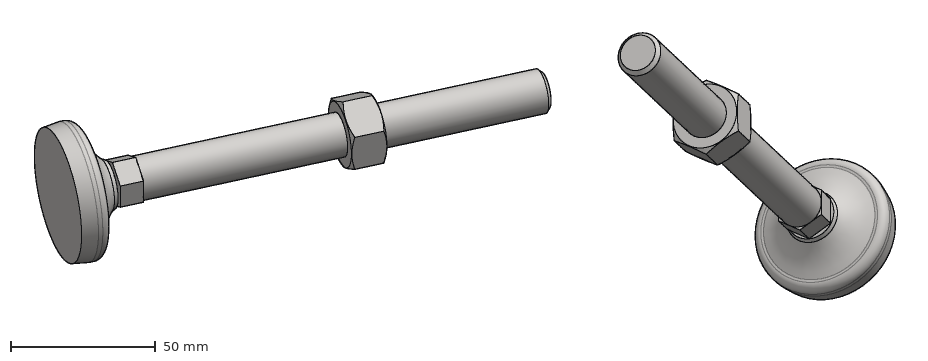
import cadquery as cq
import math

HEX_FLATS_TO_CORNERS = 1 / math.cos(math.pi / 6)

length = 179.0

pad_diameter = 50.0
pad_face_diameter = 48.3
rim_band_start = 5.9
rim_band_end = 7.5
rim_round = 3.2
hub_foot_radius = 20.8
hub_shoulder_radius = 9.5
hub_shoulder_height = 17.4
hub_top_radius = 8.8
hub_top = 19.0
flank_sag = 0.9

neck_diameter = 10.0
rod_diameter = 16.0
rod_tip_chamfer = 1.5

wrench_hex_start = 20.0
wrench_hex_end = 28.6
wrench_flats = rod_diameter

nut_start = 103.6
nut_height = 13.0
nut_flats = 24.0
nut_face_diameter = 23.6
nut_chamfer_angle = 30.0


def hex_prism(flats, start, height):
    """Hexagon along Y with two flats facing +X and -X and corners on Z."""
    corner_diameter = flats * HEX_FLATS_TO_CORNERS
    prism = cq.Workplane("XY").polygon(6, corner_diameter).extrude(height)
    flats_on_x = prism.rotate((0, 0, 0), (0, 0, 1), 30)
    along_y = flats_on_x.rotate((0, 0, 0), (1, 0, 0), -90)
    return along_y.translate((0, start, 0))


def cylinder(diameter, start, end):
    """Round bar along Y from start to end."""
    return cq.Workplane("XZ", origin=(0, start, 0)).circle(diameter / 2).extrude(start - end)


def make_pad():
    pad_radius = pad_diameter / 2
    rim_top = rim_band_end + rim_round
    diagonal_inset = rim_round * (1 - math.sqrt(0.5))
    run = hub_foot_radius - hub_shoulder_radius
    rise = hub_shoulder_height - rim_top
    chord = math.hypot(run, rise)
    flank_middle = (
        (hub_foot_radius + hub_shoulder_radius) / 2 - flank_sag * rise / chord,
        (rim_top + hub_shoulder_height) / 2 - flank_sag * run / chord,
    )
    profile = (
        cq.Workplane("XY")
        .lineTo(pad_face_diameter / 2, 0)
        .lineTo(pad_radius, rim_band_start)
        .lineTo(pad_radius, rim_band_end)
        .threePointArc((pad_radius - diagonal_inset, rim_top - diagonal_inset), (pad_radius - rim_round, rim_top))
        .lineTo(hub_foot_radius, rim_top)
        .threePointArc(flank_middle, (hub_shoulder_radius, hub_shoulder_height))
        .lineTo(hub_top_radius, hub_top)
        .lineTo(0, hub_top)
        .close()
    )
    return profile.revolve(360, (0, 0, 0), (0, 1, 0))


def make_rod():
    neck = cylinder(neck_diameter, hub_top, wrench_hex_start)
    wrench_hex = hex_prism(wrench_flats, wrench_hex_start, wrench_hex_end - wrench_hex_start)
    rod = cylinder(rod_diameter, wrench_hex_end, length).faces(">Y").chamfer(rod_tip_chamfer)
    return neck.union(wrench_hex).union(rod)


def make_nut():
    nut = hex_prism(nut_flats, nut_start, nut_height)
    corner_radius = nut_flats / 2 * HEX_FLATS_TO_CORNERS
    radial_cut = corner_radius - nut_face_diameter / 2
    axial_cut = radial_cut * math.tan(math.radians(nut_chamfer_angle))
    envelope = (
        cylinder(2 * corner_radius, nut_start, nut_start + nut_height)
        .faces("<Y or >Y")
        .edges()
        .chamfer(axial_cut, radial_cut)
    )
    return nut.intersect(envelope)


result = make_pad().union(make_rod()).union(make_nut())